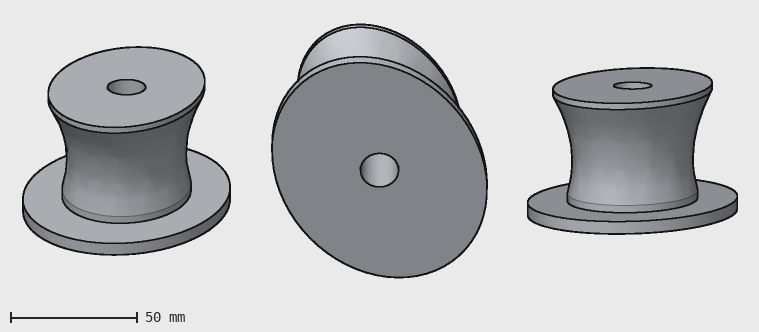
import cadquery as cq

base_width = 80.0
base_length = 100.0
base_thickness = 5.0

collar_width = 50.0
collar_length = 60.0
collar_height = 3.0

waist_width = 47
waist_length = 59.8
waist_height = 19.5
neck_height = 40.0

top_width = 60.0
top_length = 80.0
top_thickness = 2.5

bore_diameter = 15.0

collar_bottom = base_thickness
neck_bottom = collar_bottom + collar_height
neck_top = neck_bottom + neck_height
total_height = neck_top + top_thickness


def elliptical_plate(width, length, bottom, thickness):
    """Upright elliptical disc with its short axis along X."""
    return (
        cq.Workplane("XY")
        .workplane(offset=bottom)
        .ellipse(width / 2, length / 2)
        .extrude(thickness)
    )


def waisted_neck():
    """Smooth loft from the collar, in through the waist and out to the top plate."""
    return (
        cq.Workplane("XY")
        .workplane(offset=neck_bottom)
        .ellipse(collar_width / 2, collar_length / 2)
        .workplane(offset=waist_height)
        .ellipse(waist_width / 2, waist_length / 2)
        .workplane(offset=neck_height - waist_height)
        .ellipse(top_width / 2, top_length / 2)
        .loft(combine=True)
    )


base = elliptical_plate(base_width, base_length, 0, base_thickness)
collar = elliptical_plate(collar_width, collar_length, collar_bottom, collar_height)
top_plate = elliptical_plate(top_width, top_length, neck_top, top_thickness)

bore = cq.Workplane("XY").circle(bore_diameter / 2).extrude(total_height)

result = base.union(collar).union(waisted_neck()).union(top_plate).cut(bore)